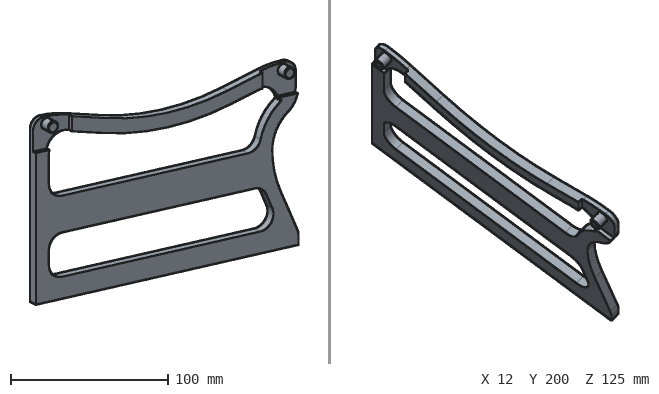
import cadquery as cq
import math

LENGTH = 200.0
HEIGHT = 125.0
PLATE_THICKNESS = 7.0
BAND = 10.0
FRONT_Y = -LENGTH / 2
REAR_Y = LENGTH / 2

CORNER_RADIUS = 8.0
CROWN_RADIUS = 75.0
VALLEY_RADIUS = 188.0
VALLEY_DEPTH = 15.0

SHOULDER_RADIUS = 20.0
WAIST_UPPER_RADIUS = 29.0
WAIST_LOWER_RADIUS = 71.0
WAIST_DEPTH = 20.0
WAIST_Z = 68.5
FLANK_ANGLE = math.radians(24.0)
FOOT_RADIUS = 12.0

WINDOW_RADIUS = 10.0
SLOPE_CORNER_RADIUS = 13.0
TIP_RADIUS = 15.0
TIP_ANGLE = math.radians(-47.0)
LOWER_WINDOW_BOTTOM = 15.0
LOWER_WINDOW_TOP = 45.0
UPPER_WINDOW_BOTTOM = 70.0

WEB_THICKNESS = 3.8
RECESS_LENGTH = 27.5
RECESS_HEIGHT = 22.0
PIN_DIAMETER = 7.7
PIN_TIP_X = 12.0
PIN_END_INSET = 10.0
PIN_TOP_INSET = 5.0
PIN_CHAMFER = 0.5

UP = math.pi / 2
DOWN = -math.pi / 2
TOWARD_REAR = 0.0
TOWARD_FRONT = math.pi

REAR_CROWN = (REAR_Y - CORNER_RADIUS, HEIGHT - CROWN_RADIUS)
FRONT_CROWN = (FRONT_Y + CORNER_RADIUS, HEIGHT - CROWN_RADIUS)
VALLEY = (0.0, HEIGHT - VALLEY_DEPTH + VALLEY_RADIUS)
REAR_CORNER = (REAR_Y - CORNER_RADIUS, HEIGHT - CORNER_RADIUS)
FRONT_CORNER = (FRONT_Y + CORNER_RADIUS, HEIGHT - CORNER_RADIUS)
WAIST_UPPER = (REAR_Y - WAIST_DEPTH + WAIST_UPPER_RADIUS, WAIST_Z)
WAIST_LOWER = (REAR_Y - WAIST_DEPTH + WAIST_LOWER_RADIUS, WAIST_Z)

VALLEY_RISE = VALLEY[1] - REAR_CROWN[1]
CENTRE_DISTANCE = math.hypot(REAR_CROWN[0], VALLEY_RISE)
TOP_SLOPE = math.atan2(REAR_CROWN[0], VALLEY_RISE) - math.acos(
    (CROWN_RADIUS + VALLEY_RADIUS) / CENTRE_DISTANCE
)

SHOULDER_Y = REAR_Y - SHOULDER_RADIUS
SHOULDER_REACH = SHOULDER_RADIUS + WAIST_UPPER_RADIUS
SHOULDER_ANGLE = math.acos((WAIST_UPPER[0] - SHOULDER_Y) / SHOULDER_REACH)
SHOULDER = (SHOULDER_Y, WAIST_Z + SHOULDER_REACH * math.sin(SHOULDER_ANGLE))


def polar(centre, radius, angle):
    """Point on a circle."""
    return (centre[0] + radius * math.cos(angle), centre[1] + radius * math.sin(angle))


def arc(path, centre, radius, start, end):
    """Continue the path along an arc that begins at angle `start`."""
    middle = polar(centre, radius, (start + end) / 2)
    return path.threePointArc(middle, polar(centre, radius, end))


def flank_y(z, inset):
    """Y of the straight flank at height z, moved inward by `inset`."""
    contact_y, contact_z = polar(WAIST_LOWER, WAIST_LOWER_RADIUS + inset, math.pi + FLANK_ANGLE)
    return contact_y + (contact_z - z) * math.tan(FLANK_ANGLE)


def dip(path, inset):
    """Straight rear slope followed by the valley arc."""
    valley_radius = VALLEY_RADIUS + inset
    path = path.lineTo(*polar(VALLEY, valley_radius, DOWN + TOP_SLOPE))
    return arc(path, VALLEY, valley_radius, DOWN + TOP_SLOPE, DOWN - TOP_SLOPE)


def plate():
    foot_y = REAR_Y - FOOT_RADIUS
    flank_to_foot = flank_y(0, FOOT_RADIUS) - foot_y
    foot = (foot_y, flank_to_foot / math.tan(FLANK_ANGLE))

    path = cq.Workplane("YZ").moveTo(FRONT_Y, 0).lineTo(REAR_Y, 0).lineTo(REAR_Y, foot[1])
    path = arc(path, foot, FOOT_RADIUS, TOWARD_REAR, FLANK_ANGLE)
    path = path.lineTo(*polar(WAIST_LOWER, WAIST_LOWER_RADIUS, math.pi + FLANK_ANGLE))
    path = arc(path, WAIST_LOWER, WAIST_LOWER_RADIUS, math.pi + FLANK_ANGLE, math.pi)
    path = arc(path, WAIST_UPPER, WAIST_UPPER_RADIUS, math.pi, math.pi - SHOULDER_ANGLE)
    path = arc(path, SHOULDER, SHOULDER_RADIUS, -SHOULDER_ANGLE, TOWARD_REAR)
    path = path.lineTo(REAR_Y, REAR_CORNER[1])
    path = arc(path, REAR_CORNER, CORNER_RADIUS, TOWARD_REAR, UP)
    path = arc(path, REAR_CROWN, CROWN_RADIUS, UP, UP + TOP_SLOPE)
    path = dip(path, 0).lineTo(*polar(FRONT_CROWN, CROWN_RADIUS, UP - TOP_SLOPE))
    path = arc(path, FRONT_CROWN, CROWN_RADIUS, UP - TOP_SLOPE, UP)
    path = arc(path, FRONT_CORNER, CORNER_RADIUS, UP, TOWARD_FRONT)
    return path.close().extrude(PLATE_THICKNESS)


def upper_window():
    wall_y = FRONT_Y + BAND
    crown_radius = CROWN_RADIUS - BAND
    waist_radius = WAIST_UPPER_RADIUS + BAND
    floor_corner_z = UPPER_WINDOW_BOTTOM + WINDOW_RADIUS

    waist_corner_angle = math.pi - math.asin(
        (floor_corner_z - WAIST_Z) / (waist_radius + WINDOW_RADIUS)
    )
    waist_corner = polar(WAIST_UPPER, waist_radius + WINDOW_RADIUS, waist_corner_angle)

    tip = polar(SHOULDER, SHOULDER_RADIUS - BAND, TIP_ANGLE)
    slope_normal = UP + TOP_SLOPE
    slope_point = polar(REAR_CROWN, crown_radius, slope_normal)
    tip_depth = (slope_point[0] - tip[0]) * math.cos(slope_normal)
    tip_depth += (slope_point[1] - tip[1]) * math.sin(slope_normal)
    tip_run = math.sqrt(TIP_RADIUS**2 - (TIP_RADIUS - tip_depth) ** 2)
    tip_centre = polar(polar(tip, tip_depth - TIP_RADIUS, slope_normal), tip_run, math.pi + TOP_SLOPE)
    tip_start = math.atan2(tip[1] - tip_centre[1], tip[0] - tip_centre[0])

    front_normal = UP - TOP_SLOPE
    front_point = polar(FRONT_CROWN, crown_radius - SLOPE_CORNER_RADIUS, front_normal)
    corner_y = wall_y + SLOPE_CORNER_RADIUS
    corner_z = front_point[1] + (front_point[0] - corner_y) * math.tan(TOP_SLOPE)
    slope_corner = (corner_y, corner_z)
    floor_corner = (wall_y + WINDOW_RADIUS, floor_corner_z)

    path = cq.Workplane("YZ").moveTo(floor_corner[0], UPPER_WINDOW_BOTTOM)
    path = path.lineTo(waist_corner[0], UPPER_WINDOW_BOTTOM)
    path = arc(path, waist_corner, WINDOW_RADIUS, DOWN, waist_corner_angle - math.pi)
    path = arc(path, WAIST_UPPER, waist_radius, waist_corner_angle, math.pi - SHOULDER_ANGLE)
    path = arc(path, SHOULDER, SHOULDER_RADIUS - BAND, -SHOULDER_ANGLE, TIP_ANGLE)
    path = arc(path, tip_centre, TIP_RADIUS, tip_start, slope_normal)
    path = dip(path, BAND).lineTo(*polar(slope_corner, SLOPE_CORNER_RADIUS, front_normal))
    path = arc(path, slope_corner, SLOPE_CORNER_RADIUS, front_normal, TOWARD_FRONT)
    path = path.lineTo(wall_y, floor_corner_z)
    path = arc(path, floor_corner, WINDOW_RADIUS, TOWARD_FRONT, UP + math.pi)
    return path.close().extrude(PLATE_THICKNESS)


def lower_window():
    wall_y = FRONT_Y + BAND
    waist_radius = WAIST_LOWER_RADIUS + BAND
    bottom_z = LOWER_WINDOW_BOTTOM + WINDOW_RADIUS
    top_z = LOWER_WINDOW_TOP - WINDOW_RADIUS

    flank_corner = (flank_y(bottom_z, BAND + WINDOW_RADIUS), bottom_z)
    waist_angle = math.asin((WAIST_Z - top_z) / (waist_radius + WINDOW_RADIUS))
    waist_corner = polar(WAIST_LOWER, waist_radius + WINDOW_RADIUS, math.pi + waist_angle)
    front_bottom = (wall_y + WINDOW_RADIUS, bottom_z)
    front_top = (wall_y + WINDOW_RADIUS, top_z)

    path = cq.Workplane("YZ").moveTo(front_bottom[0], LOWER_WINDOW_BOTTOM)
    path = path.lineTo(flank_corner[0], LOWER_WINDOW_BOTTOM)
    path = arc(path, flank_corner, WINDOW_RADIUS, DOWN, FLANK_ANGLE)
    path = path.lineTo(*polar(WAIST_LOWER, waist_radius, math.pi + FLANK_ANGLE))
    path = arc(path, WAIST_LOWER, waist_radius, math.pi + FLANK_ANGLE, math.pi + waist_angle)
    path = arc(path, waist_corner, WINDOW_RADIUS, waist_angle, UP)
    path = path.lineTo(front_top[0], LOWER_WINDOW_TOP)
    path = arc(path, front_top, WINDOW_RADIUS, UP, TOWARD_FRONT)
    path = path.lineTo(wall_y, bottom_z)
    path = arc(path, front_bottom, WINDOW_RADIUS, TOWARD_FRONT, UP + math.pi)
    return path.close().extrude(PLATE_THICKNESS)


def corner_recess(side):
    """Block removed from the +X half of an upper corner; side is -1 (front) or +1 (rear)."""
    depth = PLATE_THICKNESS - WEB_THICKNESS
    return cq.Workplane("XY").box(depth, RECESS_LENGTH, RECESS_HEIGHT).translate(
        (
            WEB_THICKNESS + depth / 2,
            side * (LENGTH - RECESS_LENGTH) / 2,
            HEIGHT - RECESS_HEIGHT / 2,
        )
    )


def pin(side):
    """Round pin standing on the web of a corner recess."""
    return (
        cq.Workplane("YZ", origin=(WEB_THICKNESS, 0, 0))
        .center(side * (LENGTH / 2 - PIN_END_INSET), HEIGHT - PIN_TOP_INSET)
        .circle(PIN_DIAMETER / 2)
        .extrude(PIN_TIP_X - WEB_THICKNESS)
        .faces(">X")
        .chamfer(PIN_CHAMFER)
    )


result = plate().cut(upper_window()).cut(lower_window())
for end_side in (-1, 1):
    result = result.cut(corner_recess(end_side)).union(pin(end_side))